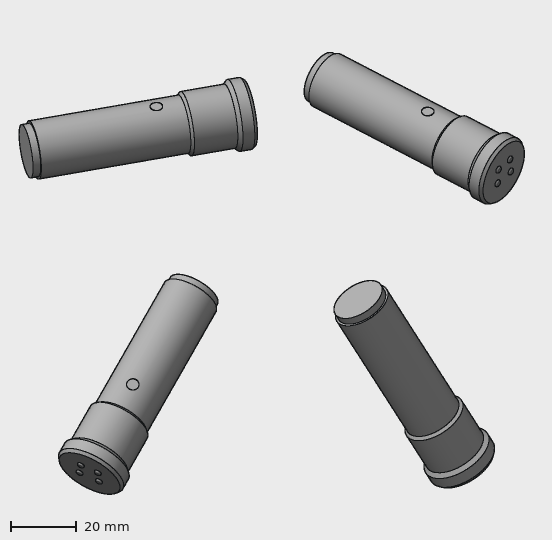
import cadquery as cq

overall_length = 70.5
pin_height = 0.65
body_length = overall_length - pin_height

head_diameter = 22.23
neck_diameter = 19.85
barrel_diameter = 18.0
spigot_diameter = 16.5

spigot_length = 2.4
barrel_end = 49.3
neck_start = 50.2
neck_end = 63.8
head_start = 65.1
head_rim_radial = 0.75
head_rim_axial = 1.04

spot_diameter = 3.8
spot_depth = 0.25
spot_y = 40.9

pin_diameter = 2.25
pin_edge_radius = 0.5
pin_pairs = [(2.87, 3.3), (3.3, -2.0)]


def make_body():
    """Revolve the stepped half profile about the Y axis."""
    spigot_radius = spigot_diameter / 2
    barrel_radius = barrel_diameter / 2
    neck_radius = neck_diameter / 2
    head_radius = head_diameter / 2
    profile = [
        (0, 0),
        (spigot_radius, 0),
        (spigot_radius, spigot_length),
        (barrel_radius, spigot_length),
        (barrel_radius, barrel_end),
        (neck_radius, neck_start),
        (neck_radius, neck_end),
        (head_radius, head_start),
        (head_radius, body_length - head_rim_axial),
        (head_radius - head_rim_radial, body_length),
        (0, body_length),
    ]
    return cq.Workplane("XY").polyline(profile).close().revolve(360, (0, 0, 0), (0, 1, 0))


def make_spot_cutter():
    """Upright cylinder whose lower face is the floor of the spot."""
    floor_z = barrel_diameter / 2 - spot_depth
    cutter = cq.Workplane("XY", origin=(0, spot_y, floor_z))
    return cutter.circle(spot_diameter / 2).extrude(barrel_diameter / 2)


def make_pin(x, z):
    """Round pin standing on the head face with a rounded outer edge."""
    pin = cq.Workplane("XZ", origin=(x, body_length, z)).circle(pin_diameter / 2).extrude(-pin_height)
    return pin.faces(">Y").edges().fillet(pin_edge_radius)


result = make_body().cut(make_spot_cutter())
for half_spacing, pin_z in pin_pairs:
    for side in (-1, 1):
        result = result.union(make_pin(side * half_spacing, pin_z))